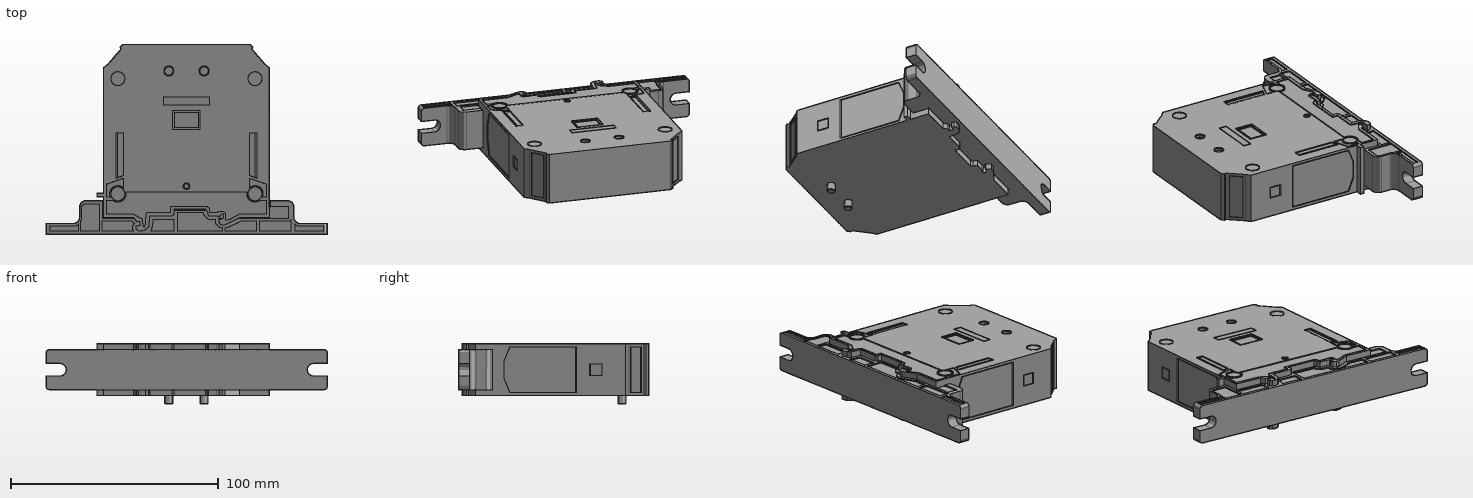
import cadquery as cq
import math

foot_length = 135.4
foot_thickness = 19.3
body_thickness = 25.0
body_width = 79.9
body_top = 91.47
body_centre_x = -0.15

foot_half = foot_length / 2
foot_front = foot_thickness / 2
body_front = body_thickness / 2
body_half = body_width / 2
body_left = body_centre_x - body_half
body_right = body_centre_x + body_half
body_base = 8.1
left_hook_start = -25.6
right_hook_end = 25.5
rail_seat = 8.9
step_left = -6.05
step_right = 9.1
step_top = 12.1
cut_margin = 1.0

flange_height = 5.25
shoulder_half = 51.6
shoulder_height = 16.3
shoulder_radius = 3.1
foot_corner_radius = 1.6
mount_slot_width = 6.0
mount_slot_depth = 9.65
foot_pocket_depth = 0.6
pocket_base = 1.6
shoulder_pocket_top = 13.4
clearance = 0.4

lower_panel_depth = 0.4
lower_panel_top = 20.4
panel_side = 38.55
panel_shoulder = 16.3
boss_offset_x = 33.0
boss_low_y = 19.5
boss_high_y = 74.95
boss_radius = 3.35
boss_ring_radius = 3.95
boss_recess_depth = 0.4
hole_depth = 1.5
pilot_y = 23.2


def prism(points, z_low, z_high):
    """Closed polygon in XY extruded between two Z levels."""
    return cq.Workplane("XY").workplane(offset=z_low).polyline(points).close().extrude(z_high - z_low)


def box(x_low, x_high, y_low, y_high, z_low, z_high):
    """Axis-aligned block given by its limits."""
    size = (x_high - x_low, y_high - y_low, z_high - z_low)
    return cq.Workplane("XY").box(*size, centered=False).translate((x_low, y_low, z_low))


def disc(x, y, radius, z_low, z_high):
    """Cylinder along Z."""
    return cq.Workplane("XY").workplane(offset=z_low).center(x, y).circle(radius).extrude(z_high - z_low)


def both_sides(shape):
    """The shape together with its mirror image across the housing centre plane."""
    return shape.union(shape.mirror("YZ", (body_centre_x, 0, 0)))


def make_foot():
    """Mounting foot: long flange with a raised rounded shoulder and an open slot at each end."""
    right_half = (
        cq.Workplane("XY").workplane(offset=-foot_front)
        .lineTo(foot_half, 0)
        .lineTo(foot_half, flange_height)
        .lineTo(shoulder_half + shoulder_radius, flange_height)
        .tangentArcPoint((shoulder_half, flange_height + shoulder_radius), relative=False)
        .lineTo(shoulder_half, shoulder_height - shoulder_radius)
        .tangentArcPoint((shoulder_half - shoulder_radius, shoulder_height), relative=False)
        .lineTo(0, shoulder_height)
        .close()
        .extrude(foot_thickness)
    )
    right_half = right_half.edges(">X and |Y").fillet(foot_corner_radius)
    slot_radius = mount_slot_width / 2
    slot_centre = foot_half - mount_slot_depth + slot_radius
    slot = box(slot_centre, foot_half + cut_margin, -cut_margin, flange_height + cut_margin,
               -slot_radius, slot_radius)
    slot_end = (cq.Workplane("XZ").center(slot_centre, 0).circle(slot_radius)
                .extrude(flange_height + 2 * cut_margin, both=True))
    right_half = right_half.cut(slot).cut(slot_end)
    return right_half.union(right_half.mirror("YZ"))


def make_body():
    """Housing plate with bevelled upper corners and two rail hooks along its lower edge."""
    bevel = [(body_half, 80.2), (37.8, 81.9), (31.5, 89.2), (32.0, 90.1), (30.65, body_top)]
    outline = cq.Workplane("XY").workplane(offset=-body_front).moveTo(body_left, body_base)
    outline = (
        outline.lineTo(left_hook_start, body_base)
        .lineTo(-24.2, 6.2)
        .lineTo(-22.4, 6.2)
        .lineTo(-22.4, 4.3)
        .lineTo(-24.4, 4.0)
        .lineTo(-24.4, 2.7)
        .lineTo(-23.3, 1.75)
        .lineTo(-22.0, 1.65)
        .lineTo(-19.9, 2.1)
        .lineTo(-18.3, 3.7)
        .lineTo(-17.8, rail_seat)
        .lineTo(-7.1, rail_seat)
        .lineTo(step_left, 9.8)
        .lineTo(step_left, step_top)
        .lineTo(step_right, step_top)
        .lineTo(9.9, 11.0)
        .lineTo(10.4, rail_seat)
    )
    outline = (
        outline.lineTo(14.4, rail_seat)
        .lineTo(15.7, 8.6)
        .lineTo(16.7, 9.7)
        .lineTo(17.6, 9.7)
        .lineTo(17.6, 7.9)
        .lineTo(16.4, 7.2)
        .lineTo(15.5, 7.2)
        .threePointArc((15.8, 5.4), (16.9, 4.6))
        .lineTo(18.4, 4.6)
        .lineTo(right_hook_end, body_base)
        .lineTo(body_right, body_base)
    )
    for x, y in bevel:
        outline = outline.lineTo(body_centre_x + x, y)
    for x, y in reversed(bevel):
        outline = outline.lineTo(body_centre_x - x, y)
    return outline.close().extrude(body_thickness)


def make_side_tab():
    """Small tab standing out of the left side over the full thickness."""
    tab_end = -43.2
    tab_low = 18.0
    tab_high = 19.85
    return box(tab_end, body_left, tab_low, tab_high, -body_front, body_front)


def cut_clearances(part):
    """Narrow through gaps between the foot and the housing, and a small opening beside the right hook."""
    gap_low = body_base - clearance
    gaps = [
        (body_left - clearance, body_left, gap_low, shoulder_height),
        (body_left - clearance, left_hook_start, gap_low, body_base),
        (step_left, step_right, step_top - clearance, step_top),
        (right_hook_end, body_right, gap_low, body_base),
        (body_right, body_right + clearance, shoulder_pocket_top, shoulder_height),
        (15.5, 16.3, 7.2, 7.8),
    ]
    for x_low, x_high, y_low, y_high in gaps:
        part = part.cut(box(x_low, x_high, y_low, y_high, -body_front, body_front))
    return part


def cut_foot_pockets(part):
    """Shallow pockets in the front face of the foot, separated by thin ribs."""
    pockets = [
        [(-51.05, pocket_base), (-51.05, 6.5), (-50.55, 6.9), (-50.55, 13.7), (-49.7, 14.6),
         (-42.0, 14.6), (-42.0, pocket_base)],
        [(-40.8, pocket_base), (-40.8, 6.5), (-26.4, 6.5), (-25.25, 5.15), (-26.1, 4.0),
         (-26.1, 2.3), (-25.6, pocket_base)],
        [(-17.25, pocket_base), (-16.4, 4.5), (-16.25, 7.2), (-6.05, 7.2), (-6.05, pocket_base)],
        [(-4.5, pocket_base), (-4.5, 10.6), (8.15, 10.6), (8.15, 9.4), (10.4, 7.2), (13.8, 7.2),
         (13.8, 5.15), (15.85, 3.3), (17.1, 3.2), (17.1, pocket_base)],
        [(18.35, pocket_base), (18.35, 3.1), (19.8, 3.3), (26.1, 6.4), (33.45, 6.4),
         (33.45, pocket_base)],
        [(35.1, pocket_base), (35.1, 6.4), (49.7, 6.4), (50.2, 7.2), (50.2, pocket_base)],
        [(body_right, 7.7), (body_right, shoulder_pocket_top), (49.0, shoulder_pocket_top), (49.0, 7.7)],
    ]
    flange_pocket = [(52.0, pocket_base), (52.0, 5.0), (53.2, 4.05), (65.9, 4.05), (65.9, pocket_base)]
    pockets.append(flange_pocket)
    pockets.append([(-x, y) for x, y in flange_pocket])
    pocket_floor = foot_front - foot_pocket_depth
    for pocket in pockets:
        part = part.cut(prism(pocket, pocket_floor, foot_front))
    return part


def cut_lower_panel(part):
    """Recessed panel following the lower edge of the housing, and the corner recess above each boss."""
    panel_left = body_centre_x - panel_side
    panel_right = body_centre_x + panel_side
    boss_left = body_centre_x - boss_offset_x
    boss_right = body_centre_x + boss_offset_x
    panel = [
        (panel_left, panel_shoulder), (panel_left, 9.75), (-25.6, 9.75), (-21.3, 7.2), (-21.1, 4.2),
        (-20.5, 3.5), (-20.0, 4.2), (-19.6, 9.9), (-19.0, 10.6), (-7.75, 10.6), (-7.75, 13.4),
        (9.9, 13.4), (11.05, 12.3), (11.05, 10.6), (14.3, 10.6), (15.7, 10.95), (17.75, 10.95),
        (18.75, 9.9), (18.75, 6.85), (20.8, 7.2), (25.2, 9.75), (panel_right, 9.75),
        (panel_right, panel_shoulder), (boss_right, panel_shoulder), (boss_right, lower_panel_top),
        (boss_left, lower_panel_top), (boss_left, panel_shoulder),
    ]
    corner = [(panel_left, 18.0), (panel_left, 24.1), (-30.45, 27.0), (-30.45, 18.0)]
    floor = body_front - lower_panel_depth
    recess = prism(panel, floor, body_front).union(both_sides(prism(corner, floor, body_front)))
    rings = both_sides(disc(boss_left, boss_low_y, boss_ring_radius, floor, body_front))
    return part.cut(recess.cut(rings))


def cut_bosses(part):
    """Round shallow recesses near the four corners of the front face."""
    for y in (boss_low_y, boss_high_y):
        recess = disc(body_centre_x - boss_offset_x, y, boss_radius,
                      body_front - boss_recess_depth, body_front)
        part = part.cut(both_sides(recess))
    return part


def cut_chamfered_hole(part, x, y, radius, depth, chamfer):
    """Blind hole in the front face with a chamfered mouth."""
    hole = disc(x, y, radius, body_front - depth, body_front)
    mouth = (cq.Workplane("XY").workplane(offset=body_front).center(x, y)
             .circle(radius + chamfer).extrude(-chamfer, taper=45))
    return part.cut(hole).cut(mouth)


def add_test_sockets(part):
    """Two sockets in the front face with the matching pins on the back face."""
    socket_offset = 8.5
    socket_y = 78.65
    pin_radius = 1.95
    pin_length = 4.0
    pin_chamfer = 0.3
    for side in (-1, 1):
        x = body_centre_x + side * socket_offset
        part = cut_chamfered_hole(part, x, socket_y, radius=2.05, depth=hole_depth, chamfer=0.35)
        pin = disc(x, socket_y, pin_radius, -body_front - pin_length, -body_front)
        part = part.union(pin.faces("<Z").chamfer(pin_chamfer))
    return part


def cut_label_plates(part):
    """Shallow name plate recess above a rectangular window with a stepped rim."""
    plate_half = 11.15
    plate_low = 62.2
    plate_high = 66.0
    plate_depth = 0.2
    plate = box(body_centre_x - plate_half, body_centre_x + plate_half, plate_low, plate_high,
                body_front - plate_depth, body_front)
    window_width = 13.2
    window_height = 9.1
    window_y = 55.0
    ledge_width = 0.9
    ledge_depth = 0.4
    window_depth = 0.8
    top_face = cq.Workplane("XY").workplane(offset=body_front).center(body_centre_x, window_y)
    ledge = top_face.rect(window_width, window_height).extrude(-ledge_depth)
    window = (top_face.rect(window_width - 2 * ledge_width, window_height - 2 * ledge_width)
              .extrude(-window_depth))
    return part.cut(plate).cut(ledge).cut(window)


def cut_long_slots(part):
    """Upright slot on each side of the front face, with a ledge along its outer wall."""
    outer_x = -34.15
    inner_x = -30.55
    top_y = 48.9
    low_outer_y = 27.0
    low_inner_y = 28.3
    depth = 0.5
    ledge_width = 0.9
    ledge_depth = 0.25
    outline = [(outer_x, low_outer_y), (outer_x, top_y), (inner_x, top_y), (inner_x, low_inner_y)]
    slot = prism(outline, body_front - depth, body_front)
    ledge = box(outer_x, outer_x + ledge_width, low_outer_y, top_y,
                body_front - depth, body_front - ledge_depth)
    return part.cut(both_sides(slot.cut(ledge)))


def cut_bevel_labels(part):
    """Rectangular label recess in the sloping upper corner faces."""
    low_x, low_y = -37.3, 83.1
    high_x, high_y = -32.95, 88.1
    half_length = 11.0
    depth = 0.8
    slope = math.atan2(high_y - low_y, high_x - low_x)
    in_x = math.sin(slope)
    in_y = -math.cos(slope)
    outline = []
    for x, y, inset in ((low_x, low_y, -cut_margin), (high_x, high_y, -cut_margin),
                        (high_x, high_y, depth), (low_x, low_y, depth)):
        outline.append((body_centre_x + x + inset * in_x, y + inset * in_y))
    return part.cut(both_sides(prism(outline, -half_length, half_length)))


def cut_side_recesses(part):
    """Pointed cover recess and small square window in the side faces."""
    depth = 0.5
    half_height = 11.0
    cover_top = 56.6
    cover_shoulder = 24.6
    cover_tip = 21.9
    tip_half = 4.3
    side_plane = cq.Workplane("YZ").workplane(offset=body_left)
    cover = side_plane.polyline([
        (cover_top, half_height), (cover_shoulder, half_height), (cover_tip, tip_half),
        (cover_tip, -tip_half), (cover_shoulder, -half_height), (cover_top, -half_height),
    ]).close().extrude(depth)
    end_ramp = prism([(body_left, cover_top), (body_left + depth, cover_top),
                      (body_left + depth, cover_top - depth)], -half_height, half_height)
    square_half = 2.75
    square_low = 63.0
    square_high = 69.0
    square = box(body_left, body_left + depth, square_low, square_high, -square_half, square_half)
    square_ramp = prism([(body_left, square_low), (body_left + depth, square_low),
                         (body_left + depth, square_low + depth)], -square_half, square_half)
    return part.cut(both_sides(cover.cut(end_ramp))).cut(both_sides(square.cut(square_ramp)))


part = make_foot().union(make_body()).union(make_side_tab())
part = cut_clearances(part)
part = cut_foot_pockets(part)
part = cut_lower_panel(part)
part = cut_bosses(part)
part = add_test_sockets(part)
part = cut_chamfered_hole(part, body_centre_x, pilot_y, radius=1.2, depth=hole_depth, chamfer=0.4)
part = cut_label_plates(part)
part = cut_long_slots(part)
part = cut_bevel_labels(part)
result = cut_side_recesses(part)